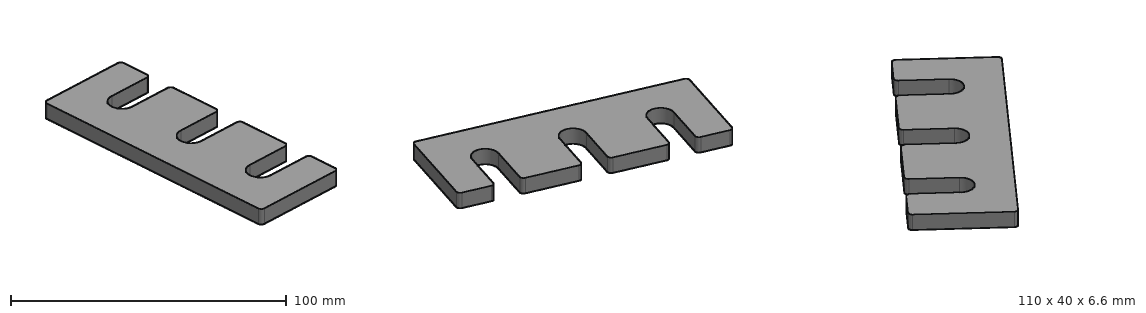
import cadquery as cq

length = 110.0
depth = 40.0
thickness = 6.6
corner_radius = 1.5

slot_count = 3
slot_pitch = 35.0
slot_width = 10.5
slot_center_depth = 20.0


def make_slot(center_x):
    """Slot with a round inner end, running out through the +Y edge."""
    end_y = depth / 2 - slot_center_depth
    straight = (
        cq.Workplane("XY")
        .center(center_x, end_y + slot_center_depth / 2)
        .rect(slot_width, slot_center_depth)
        .extrude(thickness)
    )
    round_end = cq.Workplane("XY").center(center_x, end_y).circle(slot_width / 2).extrude(thickness)
    return straight.union(round_end)


plate = cq.Workplane("XY").rect(length, depth).extrude(thickness)
for index in range(slot_count):
    plate = plate.cut(make_slot((index - (slot_count - 1) / 2) * slot_pitch))

result = plate.edges("|Z and (>Y or <Y)").fillet(corner_radius)